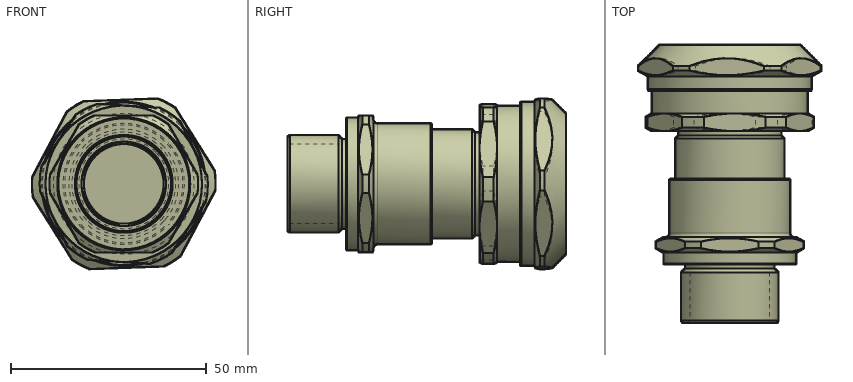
import cadquery as cq
import math


thread_diameter = 25.0
thread_length = 15.0
thread_relief_diameter = 23.0
thread_relief_length = 1.0
thread_lead_in_depth = 0.4
bore_diameter = 20.4
bore_depth = 13.0
bore_chamfer = 0.6

flange_diameter = 34.0
flange_thickness = 3.0
flange_chamfer = 0.25
body_diameter = 31.0
body_end_y = 22.0
body_chamfer = 0.4
body_root_fillet = 1.0
neck_diameter = 28.0
neck_groove_diameter = 26.5
neck_groove_length = 1.15
sleeve_diameter = 40.0
collar_diameter = 42.0
collar_length = 3.7
collar_chamfer_length = 0.4
collar_chamfer_depth = 0.2

entry_hex_flats = 35.0
entry_hex_corners = 38.0
entry_hex_length = 4.0
middle_hex_flats = 40.0
middle_hex_corners = 43.0
middle_hex_start_y = 34.1
middle_hex_length = 4.5
middle_hex_turn = -3.7
cap_hex_flats = 43.0
cap_hex_corners = 47.0
cap_hex_turn = 2.1
cap_face_diameter = 36.0
cap_start_y = 48.1
cap_end_y = 56.23

hex_sides = 6
hex_half_angle = math.radians(180 / hex_sides)
corner_chamfer_angle = 30.0
corner_chamfer_slope = math.tan(math.radians(corner_chamfer_angle))

entry_hex_end_y = flange_thickness + entry_hex_length
middle_hex_end_y = middle_hex_start_y + middle_hex_length
collar_start_y = cap_start_y - collar_length


def revolve_about_y(points):
    """Solid of revolution about Y from (radius, y) points."""
    return cq.Workplane("XY").polyline(points).close().revolve(360, (0, 0, 0), (0, 1, 0))


def cylinder(diameter, start_y, end_y):
    radius = diameter / 2
    return revolve_about_y([(0, start_y), (radius, start_y), (radius, end_y), (0, end_y)])


def hexagon(flats, start_y, end_y, turn):
    """Hexagonal prism, corners on +X and -X before the turn; a positive turn lifts the +X corner."""
    across_corners = flats / math.cos(hex_half_angle)
    prism = (
        cq.Workplane("XZ", origin=(0, start_y, 0))
        .polygon(hex_sides, across_corners)
        .extrude(start_y - end_y)
    )
    return prism.rotate((0, 0, 0), (0, 1, 0), -turn)


def chamfered_hexagon(flats, corners, face_diameter, start_y, end_y, turn):
    """Hexagon with its corners trimmed round and coned off towards both end faces."""
    face_radius = face_diameter / 2
    corner_radius = corners / 2
    drop = (corner_radius - face_radius) * corner_chamfer_slope
    envelope = revolve_about_y([
        (0, start_y),
        (face_radius, start_y),
        (corner_radius, start_y + drop),
        (corner_radius, end_y - drop),
        (face_radius, end_y),
        (0, end_y),
    ])
    return hexagon(flats, start_y, end_y, turn).intersect(envelope)


def make_entry_thread():
    radius = thread_diameter / 2
    relief_radius = thread_relief_diameter / 2
    lead_in_length = thread_lead_in_depth / corner_chamfer_slope
    relief_taper = radius - relief_radius
    return revolve_about_y([
        (0, -thread_length),
        (radius - thread_lead_in_depth, -thread_length),
        (radius, lead_in_length - thread_length),
        (radius, -thread_relief_length - relief_taper),
        (relief_radius, -thread_relief_length),
        (relief_radius, 0),
        (0, 0),
    ])


def make_flange():
    flange = cylinder(flange_diameter, 0, flange_thickness)
    return flange.faces("<Y").edges().chamfer(flange_chamfer)


def make_entry_hexagon():
    return chamfered_hexagon(
        entry_hex_flats, entry_hex_corners, flange_diameter, flange_thickness, entry_hex_end_y, 0
    )


def make_body():
    """Main barrel with a filleted root on the entry hexagon."""
    radius = body_diameter / 2
    root_mid = body_root_fillet * (1 - math.sqrt(0.5))
    return (
        cq.Workplane("XY")
        .moveTo(0, entry_hex_end_y)
        .lineTo(radius + body_root_fillet, entry_hex_end_y)
        .threePointArc(
            (radius + root_mid, entry_hex_end_y + root_mid),
            (radius, entry_hex_end_y + body_root_fillet),
        )
        .lineTo(radius, body_end_y - body_chamfer)
        .lineTo(radius - body_chamfer, body_end_y)
        .lineTo(0, body_end_y)
        .close()
        .revolve(360, (0, 0, 0), (0, 1, 0))
    )


def make_neck():
    radius = neck_diameter / 2
    groove_radius = neck_groove_diameter / 2
    groove_start_y = middle_hex_start_y - neck_groove_length
    return revolve_about_y([
        (0, body_end_y),
        (radius, body_end_y),
        (radius, groove_start_y - (radius - groove_radius)),
        (groove_radius, groove_start_y),
        (groove_radius, middle_hex_start_y),
        (0, middle_hex_start_y),
    ])


def make_middle_hexagon():
    return chamfered_hexagon(
        middle_hex_flats,
        middle_hex_corners,
        sleeve_diameter,
        middle_hex_start_y,
        middle_hex_end_y,
        middle_hex_turn,
    )


def make_collar():
    radius = collar_diameter / 2
    return revolve_about_y([
        (0, collar_start_y),
        (radius - collar_chamfer_depth, collar_start_y),
        (radius, collar_start_y + collar_chamfer_length),
        (radius, cap_start_y),
        (0, cap_start_y),
    ])


def make_cap():
    """Hexagonal cap with coned corners below and a 45 degree cone up to the end face."""
    corner_radius = cap_hex_corners / 2
    root_radius = collar_diameter / 2
    face_radius = cap_face_diameter / 2
    envelope = revolve_about_y([
        (0, cap_start_y),
        (root_radius, cap_start_y),
        (corner_radius, cap_start_y + (corner_radius - root_radius) * corner_chamfer_slope),
        (corner_radius, cap_end_y - (corner_radius - face_radius)),
        (face_radius, cap_end_y),
        (0, cap_end_y),
    ])
    return hexagon(cap_hex_flats, cap_start_y, cap_end_y, cap_hex_turn).intersect(envelope)


def make_bore():
    """Blind bore from the thread end, with a chamfered mouth."""
    radius = bore_diameter / 2
    floor_y = bore_depth - thread_length
    return revolve_about_y([
        (0, -thread_length),
        (radius + bore_chamfer, -thread_length),
        (radius, bore_chamfer - thread_length),
        (radius, floor_y),
        (0, floor_y),
    ])


result = (
    make_entry_thread()
    .union(make_flange())
    .union(make_entry_hexagon())
    .union(make_body())
    .union(make_neck())
    .union(make_middle_hexagon())
    .union(cylinder(sleeve_diameter, middle_hex_end_y, collar_start_y))
    .union(make_collar())
    .union(make_cap())
    .cut(make_bore())
)